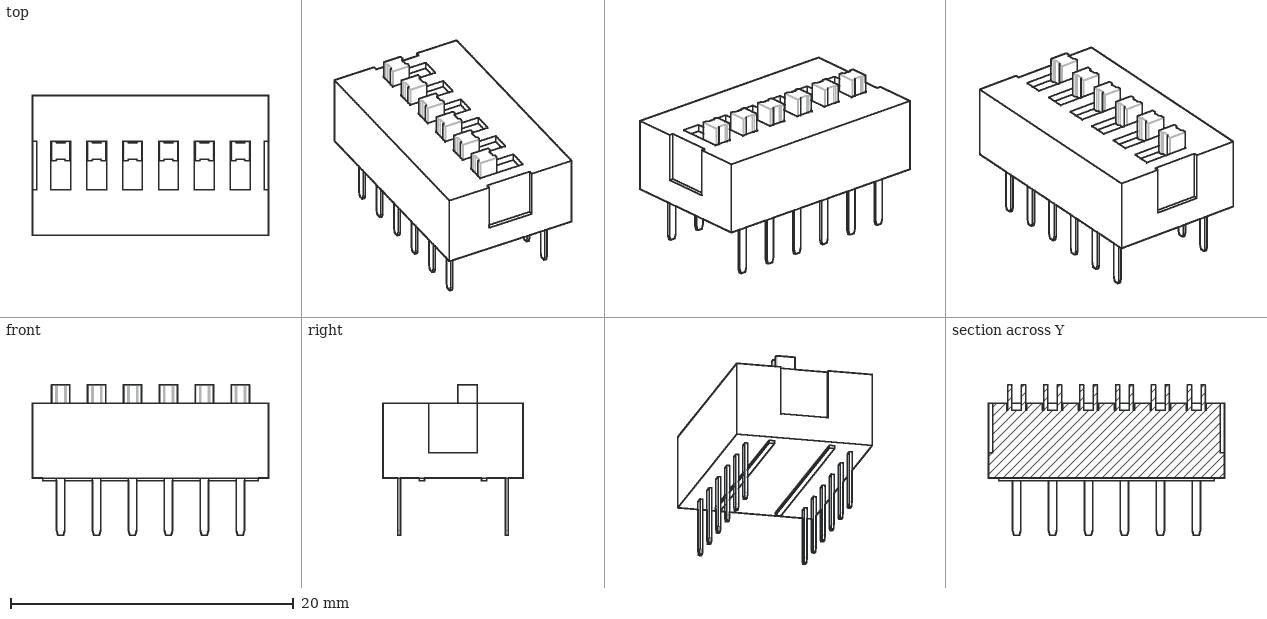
import cadquery as cq

BODY_LENGTH = 16.7
BODY_WIDTH = 9.9
BODY_HEIGHT = 5.3

SWITCH_COUNT = 6
PITCH = 2.54
SWITCH_X = [(i - (SWITCH_COUNT - 1) / 2) * PITCH for i in range(SWITCH_COUNT)]

SLOT_WIDTH = 1.4
SLOT_LENGTH = 3.45
SLOT_DEPTH = 0.5

SLIDER_WIDTH = 1.3
SLIDER_LENGTH = 1.4
SLIDER_RISE = 1.3
SLIDER_SIDE_ROUNDING = 0.05
SLIDER_TOP_ROUNDING = 0.045
GROOVE_MOUTH = 0.7
GROOVE_FLOOR = 0.55
GROOVE_DEPTH = 0.12

RECESS_DEPTH = 0.3
RECESS_WIDTH = SLOT_LENGTH
RECESS_HEIGHT = 3.5

RAIL_LENGTH = 15.24
RAIL_WIDTH = 0.4
RAIL_HEIGHT = 0.2
RAIL_Y = 2.2

PIN_ROW_SPACING = 7.62
PIN_LENGTH = 4.05
PIN_WIDTH = 0.6
PIN_THICKNESS = 0.2
PIN_TIP_WIDTH = 0.4
PIN_TIP_LENGTH = 0.35


def box(length, width, height, x, y, bottom):
    """Box centred on (x, y) whose lower face is at the given height."""
    return (
        cq.Workplane("XY")
        .box(length, width, height, centered=(True, True, False))
        .translate((x, y, bottom))
    )


def make_housing():
    housing = box(BODY_LENGTH, BODY_WIDTH, BODY_HEIGHT, 0, 0, 0)
    recess_bottom = BODY_HEIGHT - RECESS_HEIGHT
    recess_x = (BODY_LENGTH - RECESS_DEPTH) / 2
    for side in (-1, 1):
        housing = housing.cut(
            box(RECESS_DEPTH, RECESS_WIDTH, RECESS_HEIGHT, side * recess_x, 0, recess_bottom)
        )
        housing = housing.union(
            box(RAIL_LENGTH, RAIL_WIDTH, RAIL_HEIGHT, 0, side * RAIL_Y, -RAIL_HEIGHT)
        )
    slot_floor = BODY_HEIGHT - SLOT_DEPTH
    for x in SWITCH_X:
        housing = housing.cut(box(SLOT_WIDTH, SLOT_LENGTH, SLOT_DEPTH, x, 0, slot_floor))
    return housing


def make_slider(x):
    """Slider with a shallow trapezoidal grip groove down its two Y faces and rounded edges."""
    half_width = SLIDER_WIDTH / 2
    half_length = SLIDER_LENGTH / 2
    groove_y = half_length - GROOVE_DEPTH
    front = [
        (-half_width, -half_length),
        (-GROOVE_MOUTH / 2, -half_length),
        (-GROOVE_FLOOR / 2, -groove_y),
        (GROOVE_FLOOR / 2, -groove_y),
        (GROOVE_MOUTH / 2, -half_length),
        (half_width, -half_length),
    ]
    back = [(-px, -py) for px, py in front]
    slider = (
        cq.Workplane("XY")
        .polyline(front + back)
        .close()
        .extrude(SLOT_DEPTH + SLIDER_RISE)
        .edges("|Z")
        .fillet(SLIDER_SIDE_ROUNDING)
        .faces(">Z")
        .edges()
        .fillet(SLIDER_TOP_ROUNDING)
    )
    slider_y = (SLOT_LENGTH - SLIDER_LENGTH) / 2
    return slider.translate((x, slider_y, BODY_HEIGHT - SLOT_DEPTH))


def make_pin(x, y):
    """Flat pin hanging from the housing, its end tapered in width."""
    half_width = PIN_WIDTH / 2
    half_tip = PIN_TIP_WIDTH / 2
    taper_top = PIN_TIP_LENGTH - PIN_LENGTH
    outline = [
        (-half_width, 0),
        (-half_width, taper_top),
        (-half_tip, -PIN_LENGTH),
        (half_tip, -PIN_LENGTH),
        (half_width, taper_top),
        (half_width, 0),
    ]
    pin = cq.Workplane("XZ").polyline(outline).close().extrude(PIN_THICKNESS / 2, both=True)
    return pin.translate((x, y, 0))


result = make_housing()
for switch_x in SWITCH_X:
    result = result.union(make_slider(switch_x))
    for row in (-1, 1):
        result = result.union(make_pin(switch_x, row * PIN_ROW_SPACING / 2))